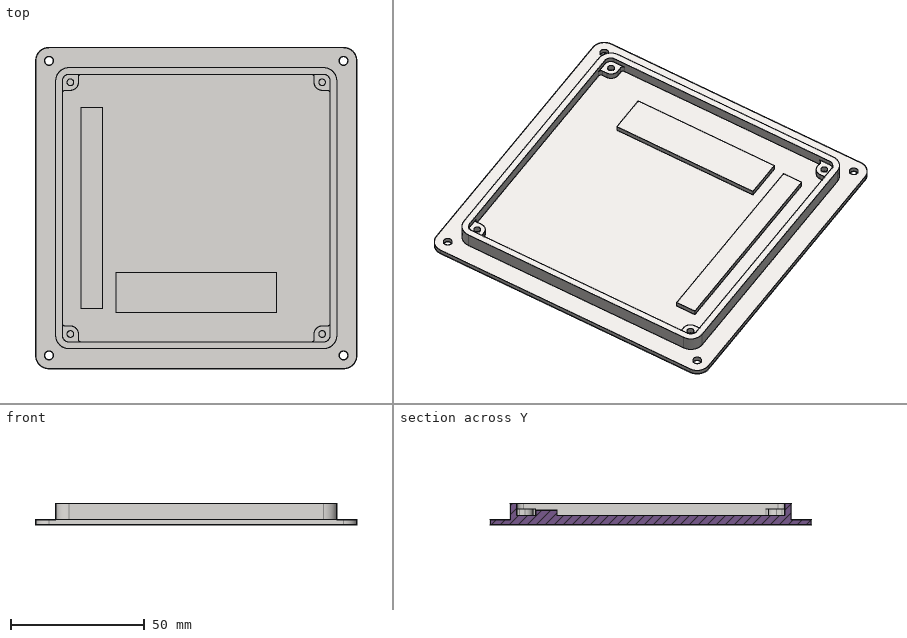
import cadquery as cq

BASE_SIDE = 120.0
BASE_THICKNESS = 2.0
BASE_CORNER_RADIUS = 5.0
MOUNT_HOLE_DIAMETER = 3.2
MOUNT_HOLE_INSET = 5.0

TOTAL_HEIGHT = 8.0
RIM_SIDE = 105.0
RIM_WALL = 2.5
RIM_CORNER_RADIUS = 5.0
RECESS_SIDE = RIM_SIDE - 2 * RIM_WALL
RECESS_CORNER_RADIUS = RIM_CORNER_RADIUS - RIM_WALL
FLOOR_Z = 3.5

BOSS_SIDE = 6.0
BOSS_TOP_Z = 6.0
BOSS_CORNER_RADIUS = BOSS_SIDE / 2
BOSS_WALL_FILLET = 1.0
BOSS_HOLE_DIAMETER = 2.5

PAD_HEIGHT = 2.0
LONG_PAD_SIZE = (8.0, 75.0)
LONG_PAD_CENTER = (-39.0, 0.0)
WIDE_PAD_SIZE = (60.0, 15.0)
WIDE_PAD_CENTER = (0.0, -31.5)


def rounded_square(side, radius, bottom, top):
    """Square plate centred on the Z axis, with rounded vertical edges."""
    plate = cq.Workplane("XY").workplane(offset=bottom).rect(side, side).extrude(top - bottom)
    return plate.edges("|Z").fillet(radius)


def corner_holes(spacing, diameter, bottom, top):
    """Four vertical cylinders on the corners of a square."""
    corners = cq.Workplane("XY").workplane(offset=bottom).rect(spacing, spacing, forConstruction=True)
    return corners.vertices().circle(diameter / 2).extrude(top - bottom)


def lower_recess():
    """Recess below the boss tops: a square whose corners are left filled by the bosses."""
    height = BOSS_TOP_Z - FLOOR_Z
    arm_width = RECESS_SIDE - 2 * BOSS_SIDE
    plane = cq.Workplane("XY").workplane(offset=FLOOR_Z)
    cross = plane.rect(RECESS_SIDE, arm_width).extrude(height)
    cross = cross.union(plane.rect(arm_width, RECESS_SIDE).extrude(height))

    half_arm = arm_width / 2
    margin = BOSS_WALL_FILLET / 2
    boss_corners = cq.selectors.BoxSelector(
        (-half_arm - margin, -half_arm - margin, FLOOR_Z - margin),
        (half_arm + margin, half_arm + margin, BOSS_TOP_Z + margin),
    )
    cross = cross.edges("|Z").edges(boss_corners).fillet(BOSS_CORNER_RADIUS)

    for end_face in ("<X", ">X", "<Y", ">Y"):
        cross = cross.faces(end_face).edges("|Z").fillet(BOSS_WALL_FILLET)
    return cross


def pad(size, center):
    """Rectangular pad on the recess floor."""
    plane = cq.Workplane("XY").workplane(offset=FLOOR_Z)
    return plane.center(*center).rect(*size).extrude(PAD_HEIGHT)


base = rounded_square(BASE_SIDE, BASE_CORNER_RADIUS, 0, BASE_THICKNESS)
rim = rounded_square(RIM_SIDE, RIM_CORNER_RADIUS, 0, TOTAL_HEIGHT)
upper_recess = rounded_square(RECESS_SIDE, RECESS_CORNER_RADIUS, BOSS_TOP_Z, TOTAL_HEIGHT)
mount_holes = corner_holes(BASE_SIDE - 2 * MOUNT_HOLE_INSET, MOUNT_HOLE_DIAMETER, 0, BASE_THICKNESS)
boss_holes = corner_holes(RECESS_SIDE - BOSS_SIDE, BOSS_HOLE_DIAMETER, FLOOR_Z, BOSS_TOP_Z)

result = base.union(rim).cut(upper_recess).cut(lower_recess())
result = result.cut(mount_holes).cut(boss_holes)
result = result.union(pad(LONG_PAD_SIZE, LONG_PAD_CENTER))
result = result.union(pad(WIDE_PAD_SIZE, WIDE_PAD_CENTER))